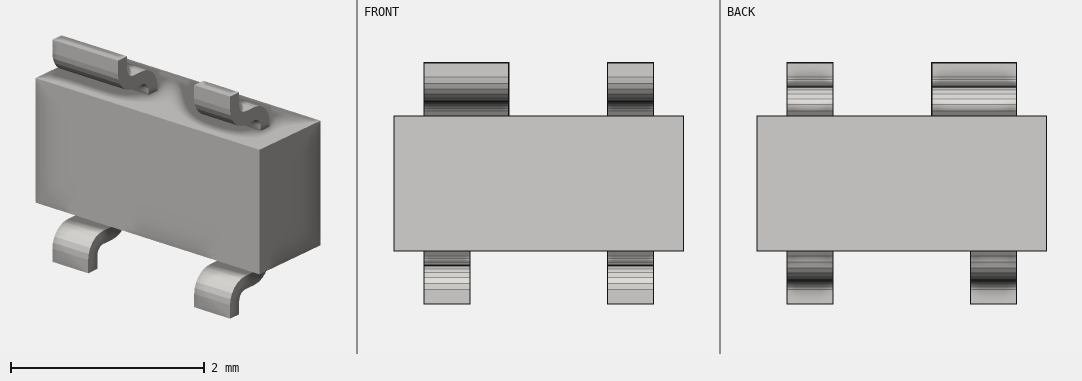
import cadquery as cq
import math

body_length = 3.0
body_depth = 1.0
body_height = 1.4

lead_thickness = 0.15
inner_bend_radius = 0.1
outer_bend_radius = inner_bend_radius + lead_thickness
facets_per_bend = 6
lead_reach = 0.55
foot_length = 0.15
shelf_length = 0.15
foot_standoff = 0.102

lead_spacing = 1.9
narrow_lead_width = 0.48
wide_lead_width = 0.88

body_top = body_height / 2
lead_outer_edge = (lead_spacing + narrow_lead_width) / 2
foot_front = -body_depth / 2 - foot_standoff


def faceted_bend(center, radius, start_angle, end_angle):
    """Points (y, z) dividing an arc into equal facets; angles in degrees from +Y towards +Z."""
    center_y, center_z = center
    step = (end_angle - start_angle) / facets_per_bend
    angles = [math.radians(start_angle + i * step) for i in range(facets_per_bend + 1)]
    return [(center_y + radius * math.cos(a), center_z + radius * math.sin(a)) for a in angles]


def make_upper_lead(left_edge, width):
    """S-bent lead standing on the top face, extruded along X from left_edge."""
    tip = body_top + lead_reach
    foot_back = foot_front + lead_thickness

    second_center = (foot_front + outer_bend_radius, tip - foot_length)
    shelf_bottom = second_center[1] - outer_bend_radius
    first_center = (second_center[0] + shelf_length, shelf_bottom - inner_bend_radius)
    root_front = first_center[0] + inner_bend_radius
    root_back = first_center[0] + outer_bend_radius

    front_side = [
        (root_front, body_top),
        *faceted_bend(first_center, inner_bend_radius, 0, 90),
        *faceted_bend(second_center, outer_bend_radius, 270, 180),
        (foot_front, tip),
    ]
    back_side = [
        (foot_back, tip),
        *faceted_bend(second_center, inner_bend_radius, 180, 270),
        *faceted_bend(first_center, outer_bend_radius, 90, 0),
        (root_back, body_top),
    ]
    return (
        cq.Workplane("YZ", origin=(left_edge, 0, 0))
        .polyline(front_side + back_side)
        .close()
        .extrude(width)
    )


body = cq.Workplane("XY").box(body_length, body_depth, body_height)

left_narrow_lead = make_upper_lead(-lead_outer_edge, narrow_lead_width)
right_narrow_lead = make_upper_lead(lead_outer_edge - narrow_lead_width, narrow_lead_width)
wide_lead = make_upper_lead(-lead_outer_edge, wide_lead_width)

result = (
    body
    .union(wide_lead)
    .union(right_narrow_lead)
    .union(left_narrow_lead.mirror("XY"))
    .union(right_narrow_lead.mirror("XY"))
)